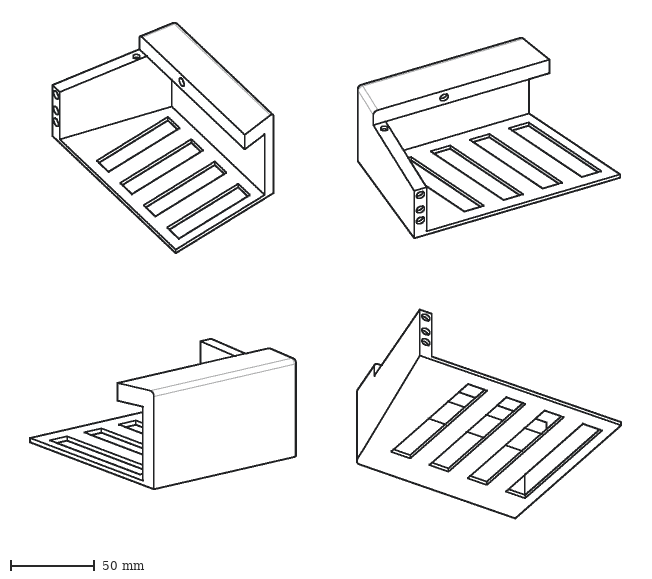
import cadquery as cq

length = 133.8
depth = 88.0
height = 61.5

wall = 8.0
floor_thickness = 2.8
front_rise = 11.2
back_length = 106.3
edge_radius = 3.0

ledge_height = 11.2
ledge_depth = 26.0
side_top = height - ledge_height
ledge_front = depth - ledge_depth

slot_count = 4
slot_width = 12.7
slot_pitch = 25.4
first_slot_x = 36.0
slot_front = wall
slot_back = depth - 2 * wall

socket_diameter = 5.2
hole_depth = 2.3
side_socket_heights = (24.5, 33.5, 45.3)
ledge_socket_x = 46.0
pin_diameter = 4.1
pin_x = 5.0
pin_y = 56.8

end_slant = (length - back_length) / depth


def extrude_along_x(points):
    """Extrude a YZ outline over the full length."""
    return cq.Workplane("YZ").polyline(points).close().extrude(length)


def slanted_prism(left, right, front, back):
    """Full-height prism; left and right are pairs of X at the front and at the back."""
    outline = [(left[0], front), (right[0], front), (right[1], back), (left[1], back)]
    return cq.Workplane("XY").polyline(outline).close().extrude(height)


def make_body():
    """Outer envelope: stepped side profile cut to the slanted right end, with rounded edges."""
    profile = [
        (0, front_rise),
        (depth, 0),
        (depth, height),
        (ledge_front, height),
        (ledge_front, side_top),
        (0, side_top),
    ]
    plan = slanted_prism((0, 0), (length, back_length), 0, depth)
    body = extrude_along_x(profile).intersect(plan)
    rounded_edges = (
        body.edges("|Z and <X and >Y")
        .add(body.edges(">Z and >Y"))
        .add(body.edges(">Z and <X"))
    )
    return body.newObject(rounded_edges.vals()).fillet(edge_radius)


def make_cavity():
    """Open space between the side wall, back wall, ledge and sloping floor."""
    cavity_back = depth - wall
    floor_front = front_rise + floor_thickness
    floor_back = floor_front - front_rise * cavity_back / depth
    profile = [(0, floor_front), (cavity_back, floor_back), (cavity_back, side_top), (0, side_top)]
    return extrude_along_x(profile).translate((wall, 0, 0))


def make_slot(front_x):
    """Slot cutter reaching up to the underside of the ledge."""
    back_x = front_x - end_slant * (slot_back - slot_front)
    cutter = slanted_prism(
        (front_x, back_x), (front_x + slot_width, back_x + slot_width), slot_front, slot_back
    )
    return cutter.translate((0, 0, side_top - height))


def make_hole(diameter, position, direction):
    """Cylinder cutter starting at the hole mouth."""
    return cq.Workplane(
        cq.Solid.makeCylinder(diameter / 2, hole_depth, cq.Vector(*position), cq.Vector(*direction))
    )


result = make_body().cut(make_cavity())

for index in range(slot_count):
    result = result.cut(make_slot(first_slot_x + index * slot_pitch))

for socket_height in side_socket_heights:
    mouth = (wall / 2, 0, socket_height)
    result = result.cut(make_hole(socket_diameter, mouth, (0, 1, 0)))

ledge_mouth = (ledge_socket_x, ledge_front, height - ledge_height / 2)
result = result.cut(make_hole(socket_diameter, ledge_mouth, (0, 1, 0)))

pin_mouth = (pin_x, pin_y, side_top)
result = result.cut(make_hole(pin_diameter, pin_mouth, (0, 0, -1)))